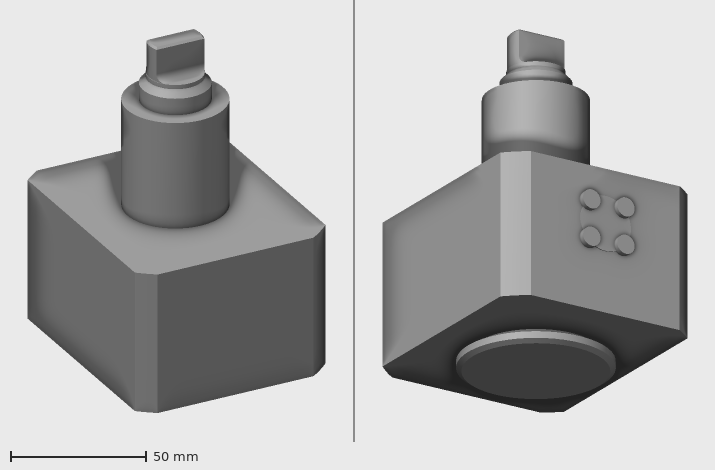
import cadquery as cq

flange_top = 4.0
body_bottom = 6.9
body_top = 64.2
shank_top = 107.9
collar_edge = 114.6
neck_bottom = 117.3
neck_top = 119.0
tang_top = 133.0

flange_diameter = 59.0
spigot_diameter = 49.0
shank_diameter = 40.0
collar_diameter = 27.0
neck_diameter = 22.0
flange_chamfer_height = 1.3
flange_chamfer_width = 2.0

body_half_length = 48.0
body_back = 41.2
body_front = -39.2
body_corner_diameter = 116.0

tang_diameter = 21.5
tang_thickness = 8.2
tang_root_radius = 3.0
tang_chamfer = 0.8

pad_diameter = 22.0
pad_height = 0.4
peg_diameter = 7.6
peg_height = 2.5
peg_spacing = 14.9
pad_center_z = 42.3


def cylinder(diameter, bottom, top):
    """Cylinder on the spindle axis between two heights."""
    return cq.Workplane("XY", origin=(0, 0, bottom)).circle(diameter / 2).extrude(top - bottom)


def make_body():
    block = (
        cq.Workplane("XY", origin=(0, (body_back + body_front) / 2, body_bottom))
        .rect(2 * body_half_length, body_back - body_front)
        .extrude(body_top - body_bottom)
    )
    return block.intersect(cylinder(body_corner_diameter, body_bottom, body_top))


def make_flange():
    flange = cylinder(flange_diameter, 0, flange_top)
    flange = flange.faces("<Z").chamfer(flange_chamfer_height, flange_chamfer_width)
    return flange.union(cylinder(spigot_diameter, flange_top, body_bottom))


def make_spindle():
    """Shank, collar with a conical shoulder, and neck."""
    shoulder = (
        cq.Workplane("XY", origin=(0, 0, collar_edge))
        .circle(collar_diameter / 2)
        .workplane(offset=neck_bottom - collar_edge)
        .circle(neck_diameter / 2)
        .loft()
    )
    return (
        cylinder(shank_diameter, body_top, shank_top)
        .union(cylinder(collar_diameter, shank_top, collar_edge))
        .union(shoulder)
        .union(cylinder(neck_diameter, neck_bottom, neck_top))
    )


def make_tang():
    """Flat blade with filleted roots, with ends rounded about the spindle axis."""
    half = tang_thickness / 2
    root = half + tang_root_radius
    fillet_top = neck_top + tang_root_radius
    profile = (
        cq.Workplane("XZ")
        .moveTo(-root, neck_top)
        .lineTo(root, neck_top)
        .radiusArc((half, fillet_top), tang_root_radius)
        .lineTo(half, tang_top)
        .lineTo(-half, tang_top)
        .lineTo(-half, fillet_top)
        .radiusArc((-root, neck_top), tang_root_radius)
        .close()
        .extrude(tang_diameter / 2, both=True)
    )
    blade = profile.intersect(cylinder(tang_diameter, neck_top, tang_top))
    return blade.faces(">Z").chamfer(tang_chamfer)


def make_side_pegs():
    face = cq.Workplane("YZ", origin=(-body_half_length, 0, pad_center_z))
    pad = face.circle(pad_diameter / 2).extrude(-pad_height)
    pegs = face.rarray(peg_spacing, peg_spacing, 2, 2).circle(peg_diameter / 2).extrude(-peg_height)
    return pad.union(pegs)


result = (
    make_body()
    .union(make_flange())
    .union(make_spindle())
    .union(make_tang())
    .union(make_side_pegs())
)